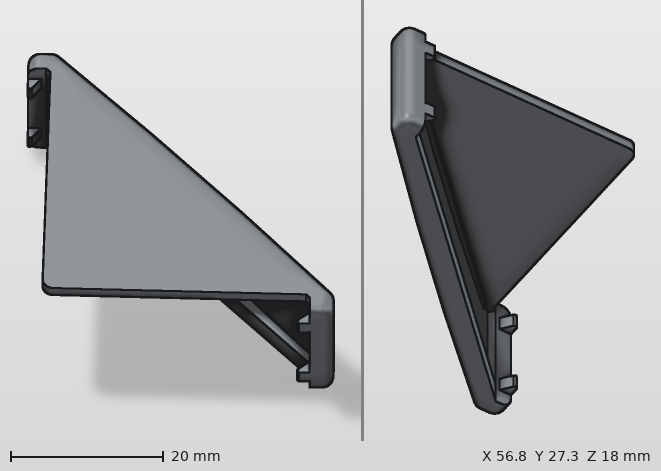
import cadquery as cq
import math

length = 56.8
depth = 27.3
height = 18.0

edge_radius = 1.6
wall_thickness = 2.0
wall_sag = 0.45
wall_corner_x = 25.85
lip_end_x = 26.85
lip_thickness = 2.4

plate_thickness = 1.6
flange_height = 3.0
pocket_half_length = 25.05
strip_half_length = 23.0
strip_height = 1.35
strip_depth = 0.3

plate_tip_radius = 1.4

clip_height = 2.05
clip_spacing = 11.15
clip_tip_y = -6.2
clip_tip_x = 25.4
clip_tip_flat = 0.5
clip_root_x = 25.6

diagonal = math.sqrt(0.5)

bend_x = length / 2 - edge_radius
corner_y = -wall_sag - edge_radius
bend_y = corner_y - (bend_x - wall_corner_x)
tangent_step = edge_radius * math.sqrt(2)
lip_vertex_x = bend_x + tangent_step
wall_vertex_y = -wall_sag
wall_vertex_x = lip_vertex_x + bend_y - wall_vertex_y
lip_end_y = bend_y - (lip_vertex_x - lip_end_x)
lip_inner_x = lip_end_x - lip_thickness * diagonal
body_front_y = lip_end_y + lip_thickness * diagonal


def wall_body():
    """Wall and lips as a solid bar with rounded outer edges."""
    bar = (
        cq.Workplane("XY")
        .moveTo(-wall_vertex_x, wall_vertex_y)
        .threePointArc((0, 0), (wall_vertex_x, wall_vertex_y))
        .lineTo(lip_vertex_x, bend_y)
        .lineTo(lip_end_x, lip_end_y)
        .lineTo(lip_inner_x, body_front_y)
        .lineTo(-lip_inner_x, body_front_y)
        .lineTo(-lip_end_x, lip_end_y)
        .lineTo(-lip_vertex_x, bend_y)
        .close()
        .extrude(height)
    )
    bar = bar.edges("|Z").edges("<X or >X or >Y").fillet(edge_radius)
    return bar.faces("<Z or >Z").edges(">Y").fillet(edge_radius)


def pocket():
    """Space between the bottom flange and the plate, with a curved back face."""
    pocket_height = height - plate_thickness - flange_height
    back_end_y = -wall_sag - wall_thickness
    return (
        cq.Workplane("XY", origin=(0, 0, flange_height))
        .moveTo(-pocket_half_length, body_front_y)
        .lineTo(-pocket_half_length, back_end_y)
        .threePointArc((0, -wall_thickness), (pocket_half_length, back_end_y))
        .lineTo(pocket_half_length, body_front_y)
        .close()
        .extrude(pocket_height)
    )


def strip():
    """Shallow strip along the wall, directly below the plate."""
    front_y = -wall_sag - wall_thickness - strip_depth
    return cq.Workplane("XY").box(
        2 * strip_half_length, -front_y - wall_thickness / 2, strip_height,
        centered=(True, False, False),
    ).translate((0, front_y, height - plate_thickness - strip_height))


def plate():
    """Triangular plate with a rounded tip, flush with the top of the wall."""
    sharp_tip_y = -depth - plate_tip_radius * (math.sqrt(2) - 1)
    plate_half_width = body_front_y - sharp_tip_y
    return (
        cq.Workplane("XY", origin=(0, 0, height - plate_thickness))
        .moveTo(-plate_half_width, body_front_y)
        .lineTo(0, sharp_tip_y)
        .lineTo(plate_half_width, body_front_y)
        .close()
        .extrude(plate_thickness)
        .edges("|Z and <Y")
        .fillet(plate_tip_radius)
    )


def clip(side, center_z):
    """Pointed snap clip continuing the outer lip face; side is -1 or 1."""
    outer_tip_x = lip_end_x - (lip_end_y - clip_tip_y)
    outline = [
        (lip_end_x, lip_end_y),
        (outer_tip_x, clip_tip_y),
        (outer_tip_x - clip_tip_flat * diagonal, clip_tip_y),
        (clip_tip_x, clip_tip_y + clip_tip_flat * diagonal),
        (clip_root_x, body_front_y - (clip_root_x - lip_inner_x)),
    ]
    return (
        cq.Workplane("XY", origin=(0, 0, center_z - clip_height / 2))
        .polyline([(side * x, y) for x, y in outline])
        .close()
        .extrude(clip_height)
    )


result = wall_body().cut(pocket()).union(strip()).union(plate())
for side in (-1, 1):
    for level in (-1, 1):
        result = result.union(clip(side, height / 2 + level * clip_spacing / 2))